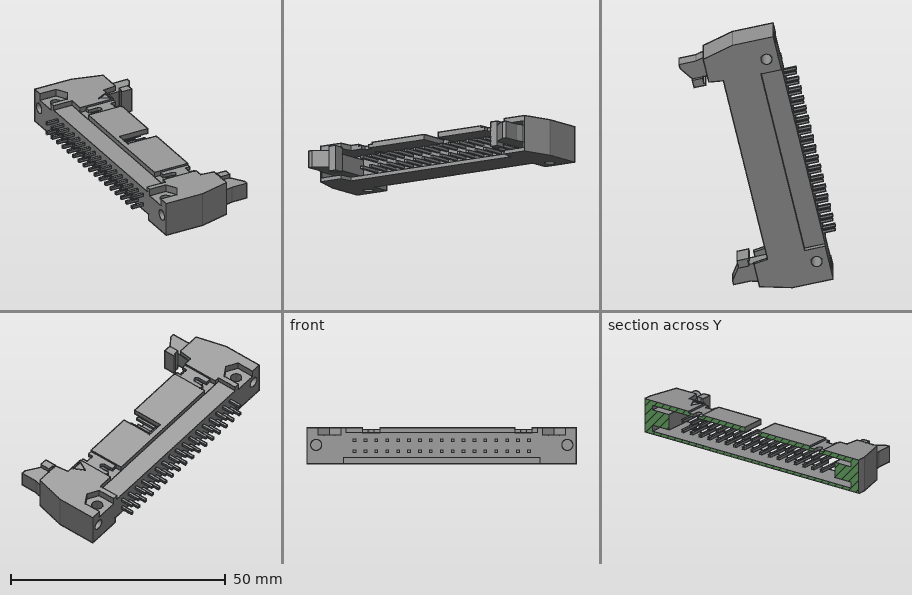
import cadquery as cq
import math


length = 62.8
height = 8.5
body_depth = 13.8
ear_depth = 17.2
top = height / 2
half_length = length / 2
ear_outer_tip = 29.45
ear_inner_tip = 23.55
ear_inner_root = 23.1
flank_start = 9.75

floor_depth = 7.35
top_wall = 1.25
bottom_wall = 0.9
lever_slot_end = 29.0

step_depth = 4.9
top_step_half = 22.3
top_step_drop = 1.2
bottom_step_half = 22.85
bottom_step_rise = 1.5

key_width = 4.0
key_end = 6.2

recess_centers = (-16.45, 19.0)
recess_width = 4.0
recess_drop = 0.45
recess_floor_end = 6.45
window_width = 1.4
window_end = 9.5
notch_width = 2.0
notch_depth = 1.2

mark_width = 2.7
mark_base = 13.45
mark_tip = 10.9
mark_sink = 0.25

mount_x = 26.2
mount_y = 2.75
hole_diameter = 2.6
nut_across_flats = 5.35
nut_pocket_sink = 1.75
nut_corner_radius = nut_across_flats / math.sqrt(3)
pivot_x = 29.25
pivot_z = 0.2
pivot_hole_depth = 5.0

pins_per_row = 17
row_span = 40.65
pitch = row_span / (pins_per_row - 1)
pin_size = 0.6
pin_tail = 3.0
pin_tip = 13.45

lever_top = 23.2
lever_height = 3.95
lever_inner = 24.3
lever_outer = 28.5
lever_root = 29.0
lever_crest = 27.5
lever_shoulder = 21.0
lever_kink = 19.15
hook_tip = 22.4
hook_height = 5.85
hook_base = 18.5
hook_lip_base = 18.15
hook_lip = 0.55


def block(x0, x1, y0, y1, z0, z1):
    """Box between two opposite corners."""
    return cq.Workplane("XY").box(x1 - x0, y1 - y0, z1 - z0, centered=False).translate((x0, y0, z0))


def plate(points, z0, z1):
    """Outline in XY filled from z0 to z1."""
    return cq.Workplane("XY").workplane(offset=z0).polyline(points).close().extrude(z1 - z0)


def both_ends(shape):
    """The shape at the +X end together with its mirror image."""
    return shape.union(shape.mirror("YZ"))


def housing_blank():
    right_side = [
        (half_length, 0),
        (half_length, flank_start),
        (ear_outer_tip, ear_depth),
        (ear_inner_tip, ear_depth),
        (ear_inner_root, body_depth),
    ]
    left_side = [(-x, y) for x, y in reversed(right_side)]
    return plate(right_side + left_side, -top, top)


def cavity():
    """Mating cavity, running out into the lever slots of both ears."""
    return block(-lever_slot_end, lever_slot_end, floor_depth, ear_depth, bottom_wall - top, top - top_wall)


def pin_side_steps():
    upper = block(-top_step_half, top_step_half, 0, step_depth, top - top_step_drop, top)
    lower = block(-bottom_step_half, bottom_step_half, 0, step_depth, -top, bottom_step_rise - top)
    return upper.union(lower)


def key_slot():
    return block(-key_width / 2, key_width / 2, key_end, body_depth, top - top_wall, top)


def strain_relief_recess(x):
    """Shallow channel with an arched window and a notch at the mouth."""
    left = x - recess_width / 2
    right = x + recess_width / 2
    channel = block(left, right, step_depth, body_depth, top - recess_drop, top)
    front_drop = block(left, right, step_depth, recess_floor_end, top - top_wall, top)
    half_window = window_width / 2
    sill = block(x - half_window, x + half_window, recess_floor_end, floor_depth, top - top_wall, top)
    window = (
        cq.Workplane("XY", origin=(x, 0, top - top_wall))
        .moveTo(-half_window, floor_depth)
        .lineTo(half_window, floor_depth)
        .lineTo(half_window, window_end - half_window)
        .threePointArc((0, window_end), (-half_window, window_end - half_window))
        .close()
        .extrude(top_wall)
    )
    half_notch = notch_width / 2
    notch = block(x - half_notch, x + half_notch, body_depth - notch_depth, body_depth, top - top_wall, top)
    return channel.union(front_drop).union(sill).union(window).union(notch)


def pin_one_mark():
    x = -row_span / 2
    triangle = [(x - mark_width / 2, mark_base), (x + mark_width / 2, mark_base), (x, mark_tip)]
    return plate(triangle, top - mark_sink, top)


def mounting_cut():
    """Through hole with a nut pocket open to the pin side, and a blind pivot hole."""
    hole = cq.Workplane("XY").center(mount_x, mount_y).circle(hole_diameter / 2).extrude(height, both=True)
    half_flats = nut_across_flats / 2
    shoulder = mount_y + nut_corner_radius / 2
    outline = [
        (mount_x - half_flats, 0),
        (mount_x + half_flats, 0),
        (mount_x + half_flats, shoulder),
        (mount_x, mount_y + nut_corner_radius),
        (mount_x - half_flats, shoulder),
    ]
    pocket = plate(outline, top - nut_pocket_sink, top)
    pivot = cq.Workplane("XZ").center(pivot_x, pivot_z).circle(hole_diameter / 2).extrude(-pivot_hole_depth)
    return hole.union(pocket).union(pivot)


def lever():
    """Locking lever of the +X ear, standing on the slot floor."""
    arm = plate(
        [
            (lever_inner, floor_depth),
            (lever_root, floor_depth),
            (lever_root, ear_depth),
            (lever_outer, lever_kink),
            (lever_outer, lever_top),
            (lever_crest, lever_top),
            (lever_inner, lever_shoulder),
        ],
        -lever_height / 2,
        lever_height / 2,
    )
    hook = plate(
        [
            (lever_inner, lever_shoulder),
            (lever_inner, hook_base),
            (hook_tip + hook_lip, hook_base),
            (hook_tip + hook_lip, hook_lip_base),
            (hook_tip, hook_lip_base),
            (hook_tip, lever_shoulder),
        ],
        -hook_height / 2,
        hook_height / 2,
    )
    return arm.union(hook)


def pins():
    """Two rows of square pins through the cavity floor."""
    return (
        cq.Workplane("XZ", origin=(0, -pin_tail, 0))
        .rarray(pitch, pitch, pins_per_row, 2)
        .rect(pin_size, pin_size)
        .extrude(-(pin_tail + pin_tip))
    )


result = housing_blank().cut(cavity()).cut(pin_side_steps()).cut(key_slot())
for center in recess_centers:
    result = result.cut(strain_relief_recess(center))
result = result.cut(pin_one_mark()).cut(both_ends(mounting_cut()))
result = result.union(both_ends(lever())).union(pins())